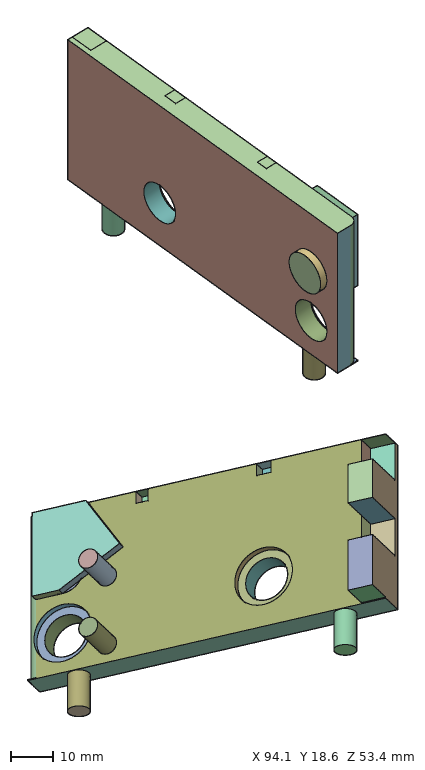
import cadquery as cq

plate_length = 94.1
plate_height = 43.8
plate_thickness = 6.5
front_wall = 1.5
edge_skin = 0.1
corner_radius = 2.3
base_strip = 0.3

knuckle_length = 6.4
knuckle_depth = 13.55
knuckle_spans = [(base_strip, 13.6), (23.5, 33.8)]

slots = [(30.2, 3.8), (62.5, 3.1)]
slot_depth = 3.1

hole_diameter = 11.0
counterbore_diameter = 15.15
counterbore_depth = 1.6
left_hole_z = 13.4
left_hole_x = 32.1
lower_hole_z = 10.5

bolt_diameter = 5.5
bolt_length = 9.6
bolt_y = 3.6
bolt_xs = [12.0, 82.1]

pin_diameter = 5.0
pin_end_y = 16.6
pin_x = 73.2
pin_zs = [4.7, 22.9]

latch_x = 84.9
latch_z = 26.5
knob_height = 2.0
lever_thickness = 2.0
lever_half_width = 7.1
lever_top = 43.3
lever_shoulder = (77.2, 42.2)
lever_tip = (69.0, 29.7)


def box(x_span, y_span, z_span):
    """Block between the given pairs of limits."""
    size = [end - start for start, end in (x_span, y_span, z_span)]
    return cq.Workplane().box(*size, centered=False).translate((x_span[0], y_span[0], z_span[0]))


def rod_along_y(x, z, diameter, y_start, y_end):
    """Round bar parallel to Y."""
    bar = cq.Workplane("XZ").center(x, z).circle(diameter / 2).extrude(y_start - y_end)
    return bar.translate((0, y_start, 0))


def make_plate():
    body = box((0, plate_length), (0, plate_thickness), (base_strip, plate_height))
    body = body.edges("|Z and >X and >Y").fillet(corner_radius)
    skin_z = plate_height - edge_skin

    body = body.cut(box((0, knuckle_length), (front_wall, plate_thickness), (base_strip, skin_z)))
    for bottom, top in knuckle_spans:
        body = body.union(box((0, knuckle_length), (front_wall, knuckle_depth), (bottom, top)))
    body = body.union(box((0, plate_length), (0, plate_thickness), (0, base_strip)))

    for left, width in slots:
        slot_y = (plate_thickness - slot_depth, plate_thickness)
        body = body.cut(box((left, left + width), slot_y, (skin_z - slot_depth, skin_z)))

    for x in bolt_xs:
        bolt = cq.Workplane("XY").center(x, bolt_y).circle(bolt_diameter / 2).extrude(-bolt_length)
        body = body.union(bolt)
    for z in pin_zs:
        body = body.union(rod_along_y(pin_x, z, pin_diameter, plate_thickness, pin_end_y))

    open_holes = [(left_hole_x, left_hole_z), (latch_x, lower_hole_z)]
    for x, z in open_holes + [(latch_x, latch_z)]:
        body = body.cut(rod_along_y(x, z, hole_diameter, 0, plate_thickness))
    counterbore_y = plate_thickness - counterbore_depth
    for x, z in open_holes:
        body = body.cut(rod_along_y(x, z, counterbore_diameter, counterbore_y, plate_thickness))
    return body


def make_latch():
    left = latch_x - lever_half_width
    right = latch_x + lever_half_width
    lever_bottom = latch_z - hole_diameter / 2
    outline = [
        lever_tip,
        lever_shoulder,
        (left, lever_top),
        (right, lever_top),
        (right, lever_bottom),
        (latch_x, lever_bottom),
    ]
    lever = cq.Workplane("XZ").polyline(outline).close().extrude(-lever_thickness)
    lever = lever.translate((0, plate_thickness, 0))
    return lever.union(rod_along_y(latch_x, latch_z, hole_diameter, -knob_height, plate_thickness))


plate = make_plate()
latch = make_latch()
result = cq.Compound.makeCompound([plate.val(), latch.val()])